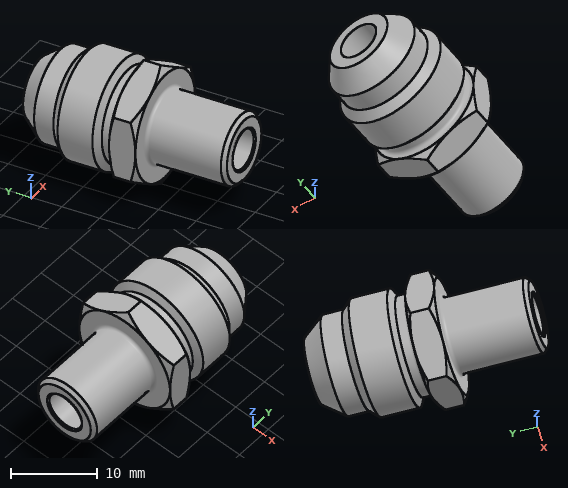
import cadquery as cq
import math

total_length = 27.1

tail_radius = 9.1 / 2
neck_radius = 12.2 / 2
body_radius = 14.28 / 2
nose_tip_radius = 8.18 / 2
bore_radius = 5.0 / 2

hex_start = 10.5
hex_length = 3.52
hex_end = hex_start + hex_length
body_taper_start = 15.47
body_start = 16.12
body_end = 20.75
shoulder_end = 21.9
nose_start = 24.47

hex_across_flats = 14.0
hex_across_corners = hex_across_flats / math.cos(math.radians(30))
hex_face_radius = 13.95 / 2
hex_chamfer_angle = 30.0

tail_chamfer = 0.51
root_fillet = 0.5
bore_chamfer = 0.2


def concave_midpoint(center_y, center_radius, toward_y):
    """Middle of a root fillet arc, given its centre and the Y direction of the hexagon."""
    offset = root_fillet * math.sqrt(0.5)
    return (center_radius - offset, center_y + toward_y * offset)


def turned_body():
    """Revolve the outer profile, drawn as (radius, Y), about the Y axis."""
    tail_fillet_start = hex_start - root_fillet
    neck_fillet_end = hex_end + root_fillet
    tail_fillet_radius = tail_radius + root_fillet
    neck_fillet_radius = neck_radius + root_fillet
    return (
        cq.Workplane("XY")
        .moveTo(0, 0)
        .lineTo(tail_radius - tail_chamfer, 0)
        .lineTo(tail_radius, tail_chamfer)
        .lineTo(tail_radius, tail_fillet_start)
        .threePointArc(
            concave_midpoint(tail_fillet_start, tail_fillet_radius, 1),
            (tail_fillet_radius, hex_start),
        )
        .lineTo(neck_fillet_radius, hex_end)
        .threePointArc(
            concave_midpoint(neck_fillet_end, neck_fillet_radius, -1),
            (neck_radius, neck_fillet_end),
        )
        .lineTo(neck_radius, body_taper_start)
        .lineTo(body_radius, body_start)
        .lineTo(body_radius, body_end)
        .lineTo(neck_radius, shoulder_end)
        .lineTo(neck_radius, nose_start)
        .lineTo(nose_tip_radius, total_length)
        .lineTo(0, total_length)
        .close()
        .revolve(360, (0, 0, 0), (0, 1, 0))
    )


def hexagon():
    """Hexagon with corners up and down in Z, both faces coned off at the corners."""
    corner_radius = hex_across_corners / 2
    cone_radius = corner_radius + 0.27
    cone_depth = (cone_radius - hex_face_radius) * math.tan(math.radians(hex_chamfer_angle))
    prism = (
        cq.Workplane("XZ", origin=(0, hex_end, 0))
        .transformed(rotate=(0, 0, 90))
        .polygon(6, hex_across_corners)
        .extrude(hex_length)
    )
    envelope = (
        cq.Workplane("XY")
        .moveTo(0, hex_start)
        .lineTo(hex_face_radius, hex_start)
        .lineTo(cone_radius, hex_start + cone_depth)
        .lineTo(cone_radius, hex_end - cone_depth)
        .lineTo(hex_face_radius, hex_end)
        .lineTo(0, hex_end)
        .close()
        .revolve(360, (0, 0, 0), (0, 1, 0))
    )
    return prism.intersect(envelope)


def bore():
    """Through bore with a small chamfer at the tail mouth."""
    return (
        cq.Workplane("XY")
        .lineTo(bore_radius + bore_chamfer, 0)
        .lineTo(bore_radius, bore_chamfer)
        .lineTo(bore_radius, total_length)
        .lineTo(0, total_length)
        .close()
        .revolve(360, (0, 0, 0), (0, 1, 0))
    )


result = turned_body().union(hexagon()).cut(bore())